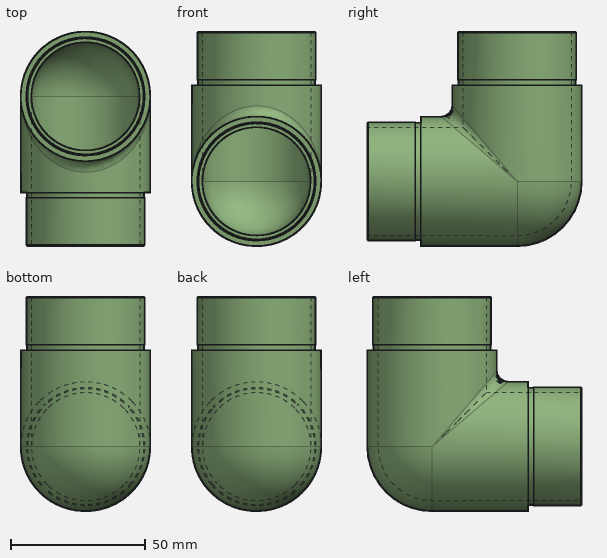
import cadquery as cq

overall_length = 80.0
body_diameter = 48.3
bore_diameter = 40.3
spigot_diameter = 44.2
neck_diameter = 43.8
spigot_length = 20.0
neck_length = 2.0
end_chamfer = 0.5
crotch_fillet = 4.0

body_radius = body_diameter / 2
bore_radius = bore_diameter / 2
leg_length = overall_length - body_radius
shoulder = leg_length - spigot_length

leg_planes = [
    cq.Workplane("XY"),
    cq.Workplane("XZ"),
]


def leg_cylinder(plane, diameter, start, end):
    """Cylinder on a leg axis between two distances from the axis crossing."""
    return plane.workplane(offset=start).circle(diameter / 2).extrude(end - start)


def elbow_ball(radius):
    """Ball centred where the leg axes cross."""
    return cq.Workplane("XY").sphere(radius)


def elbow_body():
    """Two equal cylinders closed by a ball, with a rounded inside corner."""
    upright, level = [leg_cylinder(plane, body_diameter, 0, shoulder) for plane in leg_planes]
    body = upright.union(level).union(elbow_ball(body_radius))
    crotch_point = (0, -body_radius, body_radius)
    crotch_edge = cq.selectors.NearestToPointSelector(crotch_point)
    return body.edges(crotch_edge).fillet(crotch_fillet)


def spigot(plane):
    """Relief neck followed by the plug end with a chamfered rim."""
    neck_end = shoulder + neck_length
    neck = leg_cylinder(plane, neck_diameter, shoulder, neck_end)
    plug = leg_cylinder(plane, spigot_diameter, neck_end, leg_length)
    rim_center = plane.plane.toWorldCoords((0, 0, leg_length))
    rim = cq.selectors.NearestToPointSelector(rim_center.toTuple())
    return neck.union(plug.edges(rim).chamfer(end_chamfer))


result = elbow_body()
for leg_plane in leg_planes:
    result = result.union(spigot(leg_plane))

result = result.cut(elbow_ball(bore_radius))
for leg_plane in leg_planes:
    result = result.cut(leg_cylinder(leg_plane, bore_diameter, 0, leg_length))